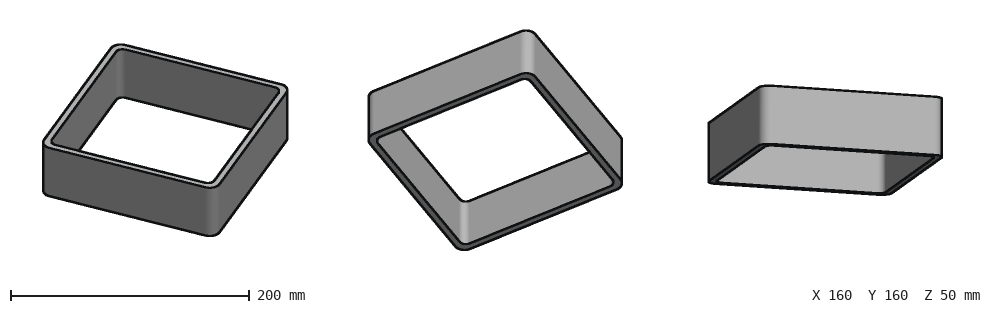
import cadquery as cq

side_length = 160.0
height = 50.0
wall_thickness = 6.0
outer_corner_radius = 9.0
inner_corner_radius = 6.0

opening_length = side_length - 2 * wall_thickness


def rounded_square_block(length, corner_radius):
    """Square block centred on X and Y, standing on Z = 0, with rounded vertical edges."""
    block = cq.Workplane("XY").box(length, length, height, centered=(True, True, False))
    return block.edges("|Z").fillet(corner_radius)


outer_block = rounded_square_block(side_length, outer_corner_radius)
opening = rounded_square_block(opening_length, inner_corner_radius)

result = outer_block.cut(opening)